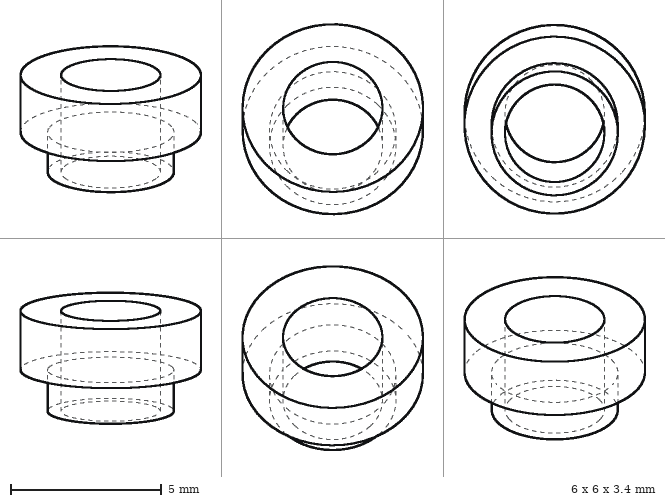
import cadquery as cq

flange_diameter = 6.0
spigot_diameter = 4.2
bore_diameter = 3.3
total_height = 3.4
spigot_height = 1.4
flange_height = total_height - spigot_height

spigot = cq.Workplane("XY").circle(spigot_diameter / 2).extrude(spigot_height)

flange = (
    cq.Workplane("XY")
    .workplane(offset=spigot_height)
    .circle(flange_diameter / 2)
    .extrude(flange_height)
)

bore = cq.Workplane("XY").circle(bore_diameter / 2).extrude(total_height)

result = spigot.union(flange).cut(bore)